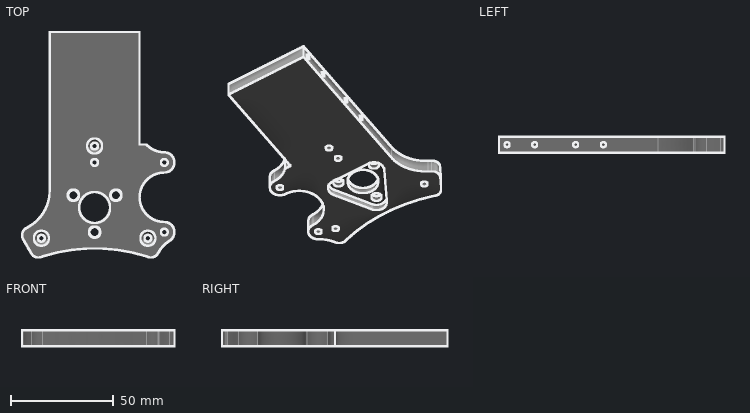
import cadquery as cq
import math

THICKNESS = 8.0
BLADE_WIDTH = 44.0
BLADE_LENGTH = 55.0
OVERALL_LENGTH = 110.22

FOOT_ANGLE = 30.0
FOOT_REACH = 38.0
FOOT_HALF_WIDTH = 8.0
FOOT_CORNER_RADIUS = 4.0
LEFT_FILLET_RADIUS = 20.0
BOTTOM_EDGE_Y = -20.0

EAR_RADIUS = 5.0
EAR_HOLE_PITCH = 34.0
EAR_X = 34.0
LOWER_EAR_Y = -12.0
UPPER_EAR_Y = LOWER_EAR_Y + EAR_HOLE_PITCH
SCALLOP_RADIUS = EAR_HOLE_PITCH / 2 - EAR_RADIUS
EAR_FOOT_FILLET_RADIUS = 15.0

BORE_DIAMETER = 15.0
SCREW_CIRCLE_RADIUS = 30.0
SCREW_HOLE_DIAMETER = 3.2
SCREW_HEAD_DIAMETER = 7.4
SCREW_HEAD_ANGLE = 90.0
SCREW_ANGLES = (90, 210, 330)
POST_CIRCLE_RADIUS = 12.0
POST_HOLE_DIAMETER = 5.0
POST_CHAMFER = 0.3
POST_CHAMFER_ANGLE = 90.0
POST_ANGLES = (30, 150, 270)
PIN_HOLE_DIAMETER = 3.2

RECESS_DEPTH = 4.0
RECESS_CORNER_RADIUS = 5.0

SIDE_HOLE_DIAMETER = 2.5
SIDE_HOLE_DEPTH = 10.0
SIDE_HOLE_TIP_ANGLE = 118.0
SIDE_HOLE_END_OFFSET = 4.0
SIDE_HOLE_PAIR_PITCH = 13.5
SIDE_HOLE_PAIR_GAP = 20.0


def polar(radius, degrees, center=(0.0, 0.0)):
    """Point at a radius and direction from a center."""
    angle = math.radians(degrees)
    return (center[0] + radius * math.cos(angle), center[1] + radius * math.sin(angle))


def arc(sketch, center, radius, start_angle, end_angle):
    """Append an arc that starts at the sketch's current point."""
    middle_angle = (start_angle + end_angle) / 2
    return sketch.threePointArc(polar(radius, middle_angle, center), polar(radius, end_angle, center))


def foot_point(along, across):
    """Point in the right foot: along its axis, and across it toward the bottom."""
    return polar(across, -FOOT_ANGLE - 90, polar(along, -FOOT_ANGLE))


def mirrored(point):
    """Point reflected across X = 0."""
    return (-point[0], point[1])


corner_along = FOOT_REACH - FOOT_CORNER_RADIUS
corner_across = FOOT_HALF_WIDTH - FOOT_CORNER_RADIUS
right_corner = foot_point(corner_along, corner_across)
left_lower_corner = mirrored(right_corner)
left_upper_corner = mirrored(foot_point(corner_along, -corner_across))

plate_bottom = right_corner[1] - FOOT_CORNER_RADIUS
plate_top = plate_bottom + OVERALL_LENGTH
ledge_y = plate_top - BLADE_LENGTH
half_blade = BLADE_WIDTH / 2


def outline():
    """Closed outline of the plate, counterclockwise from the left end of the bottom edge."""
    lower_ear = (EAR_X, LOWER_EAR_Y)
    upper_ear = (EAR_X, UPPER_EAR_Y)
    slope = math.radians(FOOT_ANGLE)
    ear_along = EAR_X * math.cos(slope) - LOWER_EAR_Y * math.sin(slope)
    ear_fillet_reach = EAR_RADIUS + EAR_FOOT_FILLET_RADIUS
    rise = FOOT_REACH + EAR_FOOT_FILLET_RADIUS - ear_along
    lean = math.degrees(math.acos(rise / ear_fillet_reach))
    ear_fillet_angle = -FOOT_ANGLE - lean
    ear_fillet_center = polar(ear_fillet_reach, ear_fillet_angle, lower_ear)
    foot_normal = 180 - FOOT_ANGLE

    scallop_offset = EAR_RADIUS + SCALLOP_RADIUS
    middle_scallop = (EAR_X, LOWER_EAR_Y + scallop_offset)
    upper_scallop = (EAR_X, UPPER_EAR_Y + scallop_offset)
    ledge_angle = 180 + math.degrees(math.asin((upper_scallop[1] - ledge_y) / SCALLOP_RADIUS))

    left_fillet_x = -half_blade - LEFT_FILLET_RADIUS
    left_fillet_y = (FOOT_HALF_WIDTH + LEFT_FILLET_RADIUS + left_fillet_x * math.sin(slope)) / math.cos(slope)
    left_fillet = (left_fillet_x, left_fillet_y)

    arch_end = polar(FOOT_CORNER_RADIUS, -FOOT_ANGLE - 90, right_corner)

    sketch = cq.Workplane("XY").moveTo(*mirrored(arch_end))
    sketch = sketch.threePointArc((0, BOTTOM_EDGE_Y), arch_end)
    sketch = arc(sketch, right_corner, FOOT_CORNER_RADIUS, -FOOT_ANGLE - 90, -FOOT_ANGLE)
    sketch = sketch.lineTo(*polar(EAR_FOOT_FILLET_RADIUS, foot_normal, ear_fillet_center))
    sketch = arc(sketch, ear_fillet_center, EAR_FOOT_FILLET_RADIUS, foot_normal, 180 + ear_fillet_angle)
    sketch = arc(sketch, lower_ear, EAR_RADIUS, ear_fillet_angle, 90)
    sketch = arc(sketch, middle_scallop, SCALLOP_RADIUS, 270, 90)
    sketch = arc(sketch, upper_ear, EAR_RADIUS, -90, 90)
    sketch = arc(sketch, upper_scallop, SCALLOP_RADIUS, 270, ledge_angle)
    sketch = sketch.lineTo(half_blade, ledge_y)
    sketch = sketch.lineTo(half_blade, plate_top)
    sketch = sketch.lineTo(-half_blade, plate_top)
    sketch = sketch.lineTo(-half_blade, left_fillet_y)
    sketch = arc(sketch, left_fillet, LEFT_FILLET_RADIUS, 0, FOOT_ANGLE - 90)
    sketch = sketch.lineTo(*polar(FOOT_CORNER_RADIUS, FOOT_ANGLE + 90, left_upper_corner))
    sketch = arc(sketch, left_upper_corner, FOOT_CORNER_RADIUS, FOOT_ANGLE + 90, FOOT_ANGLE + 180)
    sketch = sketch.lineTo(*polar(FOOT_CORNER_RADIUS, FOOT_ANGLE + 180, left_lower_corner))
    sketch = arc(sketch, left_lower_corner, FOOT_CORNER_RADIUS, FOOT_ANGLE + 180, FOOT_ANGLE + 270)
    return sketch.close()


def top_face(plate):
    return plate.faces(">Z").workplane(origin=(0, 0, THICKNESS))


def cut_face_holes(plate):
    screws = [polar(SCREW_CIRCLE_RADIUS, angle) for angle in SCREW_ANGLES]
    posts = [polar(POST_CIRCLE_RADIUS, angle) for angle in POST_ANGLES]
    pins = [(0, UPPER_EAR_Y), (EAR_X, UPPER_EAR_Y), (EAR_X, LOWER_EAR_Y)]
    post_mouth = POST_HOLE_DIAMETER + 2 * POST_CHAMFER
    plate = top_face(plate).circle(BORE_DIAMETER / 2).cutThruAll()
    plate = top_face(plate).pushPoints(pins).hole(PIN_HOLE_DIAMETER)
    plate = top_face(plate).pushPoints(posts).cskHole(POST_HOLE_DIAMETER, post_mouth, POST_CHAMFER_ANGLE)
    screw_layout = top_face(plate).pushPoints(screws)
    return screw_layout.cskHole(SCREW_HOLE_DIAMETER, SCREW_HEAD_DIAMETER, SCREW_HEAD_ANGLE)


def cut_recess(plate):
    corners = [polar(POST_CIRCLE_RADIUS, angle) for angle in POST_ANGLES]
    recess = cq.Workplane("XY").polyline(corners).close().offset2D(RECESS_CORNER_RADIUS).extrude(RECESS_DEPTH)
    return plate.cut(recess)


def side_drill(y):
    """Drill shape along +X from the left edge, with a conical tip."""
    radius = SIDE_HOLE_DIAMETER / 2
    tip = radius / math.tan(math.radians(SIDE_HOLE_TIP_ANGLE / 2))
    profile = [(0, 0), (0, radius), (SIDE_HOLE_DEPTH, radius), (SIDE_HOLE_DEPTH + tip, 0)]
    drill = cq.Workplane("XY").polyline(profile).close().revolve(360, (0, 0), (1, 0))
    return drill.translate((-half_blade, y, THICKNESS / 2))


def cut_side_holes(plate):
    y = plate_top - SIDE_HOLE_END_OFFSET
    for step in (0, SIDE_HOLE_PAIR_PITCH, SIDE_HOLE_PAIR_GAP, SIDE_HOLE_PAIR_PITCH):
        y -= step
        plate = plate.cut(side_drill(y))
    return plate


plate = outline().extrude(THICKNESS)
plate = cut_face_holes(plate)
plate = cut_recess(plate)
result = cut_side_holes(plate)